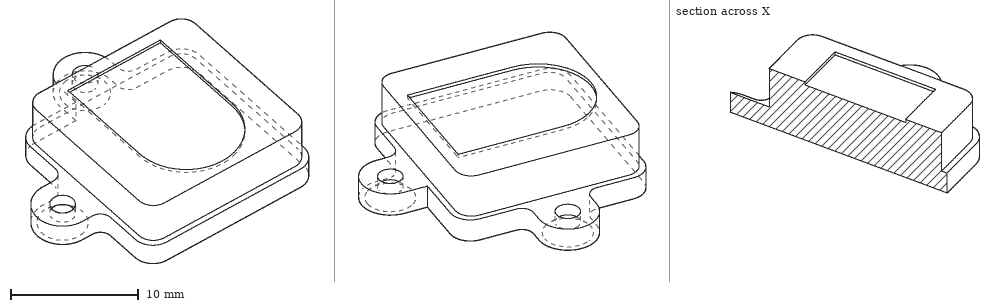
import cadquery as cq

overall_length = 21.3
overall_height = 5.8

plate_side = 16.78
plate_height = 2.0
plate_corner_radius = 1.75

block_inset = 0.5
block_side = plate_side - 2 * block_inset
block_corner_radius = 1.4

lug_radius = 2.5
lug_hole_diameter = 2.0
countersink_depth = plate_height / 2
countersink_diameter = lug_hole_diameter + 2 * countersink_depth
lug_fillet_radius = 1.0
lug_center_distance = overall_length - plate_side / 2 - lug_radius

recess_width = 9.2
recess_left = -6.73
recess_arc_center = 2.39
recess_depth = 0.3


def rounded_square(side, height, corner_radius):
    """Square block on Z = 0 with rounded vertical edges."""
    block = cq.Workplane("XY").rect(side, side).extrude(height)
    return block.edges("|Z").fillet(corner_radius)


def lug():
    """Round-ended lug reaching from the plate centre toward -X."""
    tab = (
        cq.Workplane("XY")
        .center(-lug_center_distance / 2, 0)
        .rect(lug_center_distance, 2 * lug_radius)
        .extrude(plate_height)
    )
    end = cq.Workplane("XY").center(-lug_center_distance, 0).circle(lug_radius).extrude(plate_height)
    return tab.union(end)


def lug_hole():
    """Through-hole cutter for the -X lug, with a countersink opening at the underside."""
    hole = (
        cq.Workplane("XY")
        .center(-lug_center_distance, 0)
        .circle(lug_hole_diameter / 2)
        .extrude(plate_height)
    )
    countersink = (
        cq.Workplane("XY")
        .center(-lug_center_distance, 0)
        .circle(countersink_diameter / 2)
        .workplane(offset=countersink_depth)
        .circle(lug_hole_diameter / 2)
        .loft()
    )
    return hole.union(countersink)


def turn_to_front(shape):
    """Turn a shape from the -X side to the -Y side."""
    return shape.rotate((0, 0, 0), (0, 0, 1), 90)


def recess():
    """Cutter with a straight end toward -X and a half-round end toward +X."""
    half_width = recess_width / 2
    return (
        cq.Workplane("XY")
        .workplane(offset=overall_height - recess_depth)
        .moveTo(recess_left, -half_width)
        .lineTo(recess_arc_center, -half_width)
        .threePointArc((recess_arc_center + half_width, 0), (recess_arc_center, half_width))
        .lineTo(recess_left, half_width)
        .close()
        .extrude(recess_depth)
    )


plate = rounded_square(plate_side, plate_height, plate_corner_radius)
plate = plate.union(lug()).union(turn_to_front(lug()))
half_plate = plate_side / 2
mid_height = plate_height / 2
filleted_corners = [
    (-half_plate, lug_radius, mid_height),
    (-lug_radius, -half_plate, mid_height),
    (lug_radius, -half_plate, mid_height),
]
for corner in filleted_corners:
    plate = plate.edges(cq.selectors.NearestToPointSelector(corner)).fillet(lug_fillet_radius)

result = plate.union(rounded_square(block_side, overall_height, block_corner_radius))
result = result.cut(lug_hole()).cut(turn_to_front(lug_hole()))
result = result.cut(recess())